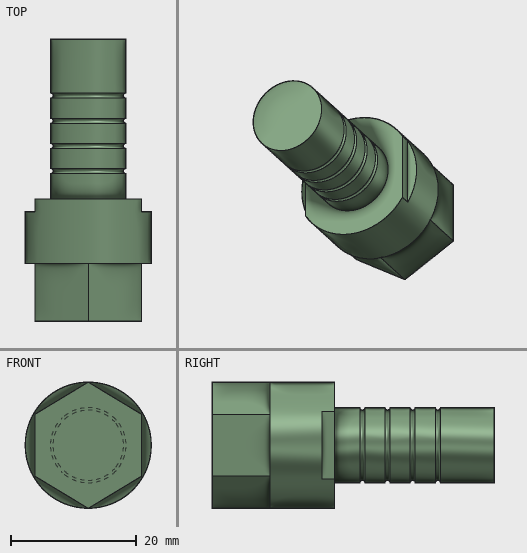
import cadquery as cq

hex_length = 9.2
collar_length = 10.3
total_length = 44.91
collar_start = hex_length
shaft_start = collar_start + collar_length
shaft_length = total_length - shaft_start

collar_diameter = 20.1
collar_radius = collar_diameter / 2
flat_distance = 8.5
hex_side_length = 9.82
collar_flat_length = 2.03

shaft_diameter = 12.0
shaft_radius = shaft_diameter / 2
groove_count = 4
groove_pitch = 4.0
groove_end_distance = 9.0
groove_radius = 0.4


def cylinder_along_y(radius, start, length):
    """Solid cylinder on the Y axis, growing toward +Y."""
    return cq.Workplane("XZ", origin=(0, start, 0)).circle(radius).extrude(-length)


def make_hexagon():
    """Hexagonal end: upright sides, with top and bottom corners on the collar circle."""
    half_side = hex_side_length / 2
    corners = [
        (0, collar_radius),
        (flat_distance, half_side),
        (flat_distance, -half_side),
        (0, -collar_radius),
        (-flat_distance, -half_side),
        (-flat_distance, half_side),
    ]
    return cq.Workplane("XZ").polyline(corners).close().extrude(-hex_length)


def make_collar():
    """Round collar with two opposite flats cut into its shaft end."""
    collar = cylinder_along_y(collar_radius, collar_start, collar_length)
    flat_depth = collar_radius - flat_distance
    flat_middle = (flat_distance + collar_radius) / 2
    for side in (-1, 1):
        flat_cutter = cq.Workplane("XY").box(flat_depth, collar_flat_length, collar_diameter)
        position = (side * flat_middle, shaft_start - collar_flat_length / 2, 0)
        collar = collar.cut(flat_cutter.translate(position))
    return collar


def make_head():
    """Hexagon and collar joined into one body."""
    return make_hexagon().union(make_collar())


def make_groove_ring(middle):
    """Ring of round section that cuts one groove around the shaft."""
    section = cq.Workplane("XY").center(shaft_radius, middle).circle(groove_radius)
    return section.revolve(360, (-shaft_radius, 0), (-shaft_radius, 1))


def make_shaft():
    """Grooved round shaft that butts against the collar face."""
    shaft = cylinder_along_y(shaft_radius, shaft_start, shaft_length)
    for index in range(groove_count):
        middle = total_length - groove_end_distance - index * groove_pitch
        shaft = shaft.cut(make_groove_ring(middle))
    return shaft


head = make_head()
shaft = make_shaft()
result = cq.Compound.makeCompound([head.val(), shaft.val()])